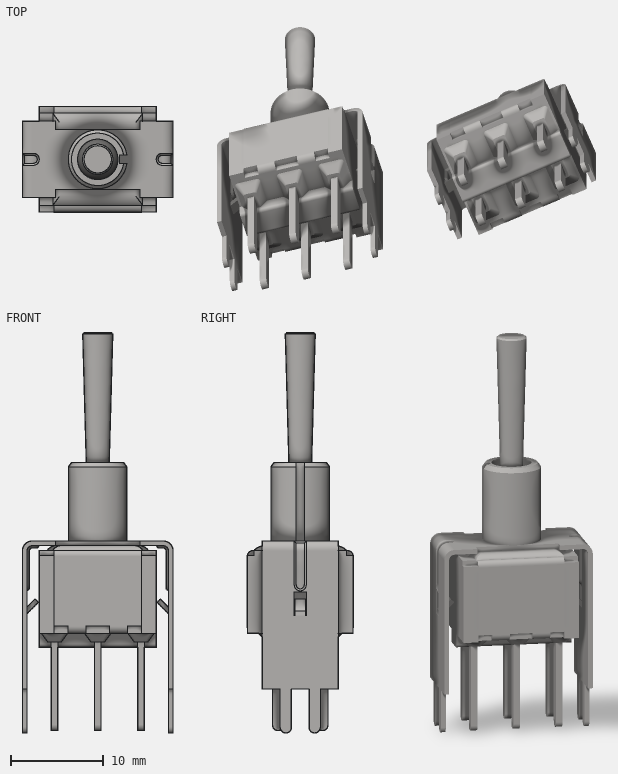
import cadquery as cq
import math


bracket_length = 16.25
bracket_width = 8.25
sheet = 0.5
bend_radius = 1.1
leg_shoulder_z = -15.95
leg_tip_z = -20.7
prong_width = 1.2
prong_pitch = 3.1
notch_length = 9.05
notch_inner_y = 3.25

rib_depth = 0.25
rib_width = 1.3
rib_floor_width = 0.85
rib_top_end_x = 6.3
rib_leg_end_z = -5.4

window_width = 1.3
window_top_z = -5.52
window_bottom_z = -8.05
latch_width = 1.15
latch_reach_x = 6.4
latch_root_z = -7.85
latch_bend_z = -7.55

bushing_diameter = 6.35
bushing_height = 8.45
bushing_chamfer_height = 0.35
bushing_chamfer_width = 0.47
bore_diameter = 4.35
keyway_width = 0.95
keyway_floor_x = 2.35
lever_top_z = 43.15 + leg_tip_z
lever_top_diameter = 3.3
lever_neck_diameter = 2.5
lever_edge = 0.17

housing_length = 12.65
housing_width = 11.45
housing_top_z = -1.05
housing_bottom_z = -9.95
end_step_height = 0.5
panel_length = 9.45
panel_thickness = 0.75
panel_round = 0.65
end_setback = 0.02
panel_bottom_z = -9.2
crimp_length = 1.95
crimp_pitch = 4.45
crimp_round = 0.7

roof_half_length = 4.85
roof_top_half_length = 3.95
roof_half_width = housing_width / 2 - panel_thickness
roof_top_half_width = 3.8
hump_half_length = 5.45
hump_top_half_length = 4.55

base_bar_width = 3.0
base_bar_bottom_z = -11.5
base_bar_round = 0.35

pin_pitch = 4.65
pin_row_spacing = 4.8
pin_thickness = 0.75
pin_width = 1.2
pin_tip_z = -20.45
collar_bottom_z = -10.9
collar_bottom_length = 1.42
collar_bottom_width = 2.25
collar_bottom_corner = 0.2
collar_top_length = 2.85
collar_top_width = 4.25
collar_top_corner = 0.4

overcut = 0.45

half_length = bracket_length / 2
inner_x = half_length - sheet


def box(x0, x1, y0, y1, z0, z1):
    """Axis-aligned block between two opposite corners."""
    return cq.Workplane("XY").box(x1 - x0, y1 - y0, z1 - z0, centered=False).translate((x0, y0, z0))


def centred_box(length, width, z0, z1):
    """Block centred on the Z axis."""
    return box(-length / 2, length / 2, -width / 2, width / 2, z0, z1)


def both_ends(body):
    """The body together with its mirror image at the -X end."""
    return body.union(body.mirror("YZ"))


def both_sides(body):
    """The body together with its mirror image on the +Y side."""
    return body.union(body.mirror("XZ"))


def round_tipped_blade(thickness, width, top_z, tip_z):
    """Flat vertical blade on the Z axis whose lower end is a half circle across its width."""
    half = width / 2
    return (
        cq.Workplane("YZ")
        .moveTo(-half, top_z)
        .lineTo(-half, tip_z + half)
        .threePointArc((0, tip_z), (half, tip_z + half))
        .lineTo(half, top_z)
        .close()
        .extrude(thickness / 2, both=True)
    )


def bushing_cylinder(bottom_z, top_z):
    """Plain cylinder of the bushing's outer diameter."""
    base = cq.Workplane("XY").workplane(offset=bottom_z)
    return base.circle(bushing_diameter / 2).extrude(top_z - bottom_z)


def keyway_block(bottom_z, top_z):
    """Block filling the keyway, which lies on the +X side of the bushing."""
    half = keyway_width / 2
    return box(keyway_floor_x, bushing_diameter / 2 + overcut, -half, half, bottom_z, top_z)


def rib_tool(depth):
    """Tapered strip, rounded at both ends, that starts at `depth` below the bracket's outer
    surface and follows its +X bend; it is rib_depth high and points inwards."""
    surface_x = half_length - depth
    end_x = rib_top_end_x + rib_width / 2
    end_z = rib_leg_end_z + rib_width / 2
    radius = bend_radius - depth
    centre_x = half_length - bend_radius
    diagonal = radius * math.sqrt(0.5)
    path = (
        cq.Workplane("XZ")
        .moveTo(end_x, -depth)
        .lineTo(centre_x, -depth)
        .threePointArc((centre_x + diagonal, diagonal - bend_radius), (surface_x, -bend_radius))
        .lineTo(surface_x, end_z)
    )
    strip = (
        cq.Workplane("YZ", origin=(end_x, 0, 0))
        .polyline([
            (-rib_width / 2, -depth),
            (rib_width / 2, -depth),
            (rib_floor_width / 2, -depth - rib_depth),
            (-rib_floor_width / 2, -depth - rib_depth),
        ])
        .close()
        .sweep(path)
    )
    top_end = cq.Solid.makeCone(
        rib_width / 2, rib_floor_width / 2, rib_depth, cq.Vector(end_x, 0, -depth), cq.Vector(0, 0, -1)
    )
    leg_end = cq.Solid.makeCone(
        rib_width / 2, rib_floor_width / 2, rib_depth, cq.Vector(surface_x, 0, end_z), cq.Vector(-1, 0, 0)
    )
    return strip.union(cq.Workplane(top_end)).union(cq.Workplane(leg_end))


def latch():
    """Tongue bent 45 degrees out of the +X leg, towards the housing."""
    lower_tip_z = latch_root_z + inner_x - latch_reach_x
    end_offset = sheet * math.sqrt(0.5)
    upper_tip = (latch_reach_x + end_offset, lower_tip_z + end_offset)
    bend_x = upper_tip[0] + upper_tip[1] - latch_bend_z
    return (
        cq.Workplane("XZ")
        .polyline([
            (latch_reach_x, lower_tip_z),
            upper_tip,
            (bend_x, latch_bend_z),
            (half_length, window_bottom_z),
            (inner_x, window_bottom_z),
            (inner_x, latch_root_z),
        ])
        .close()
        .extrude(latch_width / 2, both=True)
    )


def make_bracket():
    """Sheet-metal bracket: top plate, two bent legs with solder prongs, stiffening ribs and latches."""
    outside = centred_box(bracket_length, bracket_width, leg_shoulder_z, 0)
    outside = outside.edges("|Y and >Z").fillet(bend_radius)
    inside = centred_box(2 * inner_x, bracket_width + 2 * overcut, leg_shoulder_z - overcut, -sheet)
    inside = inside.edges("|Y and >Z").fillet(bend_radius - sheet)
    body = outside.cut(inside)

    prong = round_tipped_blade(sheet, prong_width, leg_shoulder_z, leg_tip_z)
    prong = prong.translate((half_length - sheet / 2, -prong_pitch / 2, 0))
    body = body.union(both_ends(both_sides(prong)))

    notch = box(
        -notch_length / 2, notch_length / 2, -bracket_width, -notch_inner_y, -sheet - overcut, overcut
    )
    body = body.cut(both_sides(notch))

    body = body.union(both_ends(rib_tool(sheet))).cut(both_ends(rib_tool(0)))

    half = window_width / 2
    window = box(inner_x - overcut, half_length + overcut, -half, half, window_bottom_z, window_top_z)
    body = body.cut(both_ends(window)).union(both_ends(latch()))

    hole = bushing_cylinder(-sheet, 0).cut(keyway_block(-sheet, 0))
    return body.cut(hole)


def make_bushing():
    """Chamfered sleeve with a blind bore and a keyway; it passes through the bracket."""
    body = bushing_cylinder(housing_top_z, bushing_height)
    body = body.faces(">Z").chamfer(bushing_chamfer_width, bushing_chamfer_height)
    body = body.cut(cq.Workplane("XY").circle(bore_diameter / 2).extrude(bushing_height))
    return body.cut(keyway_block(-sheet, bushing_height))


def make_lever():
    """Handle that widens upwards, rising from a half ball on the floor of the bore."""
    top = lever_top_diameter / 2
    neck = lever_neck_diameter / 2
    slope = (top - neck) / (lever_top_z - bushing_height)
    foot = neck - slope * bushing_height
    handle = (
        cq.Workplane("XZ")
        .polyline([(0, 0), (foot, 0), (top, lever_top_z), (0, lever_top_z)])
        .close()
        .revolve(360, (0, 0), (0, 1))
        .faces(">Z")
        .chamfer(lever_edge)
    )
    ball = cq.Workplane("XY").sphere(bore_diameter / 2)
    half_ball = ball.intersect(centred_box(bore_diameter, bore_diameter, 0, bore_diameter))
    return handle.union(half_ball)


def arched_prism(plane, foot, crest, half_depth):
    """Prism from the housing top to the bracket's underside. Each side is an arc that leaves
    the housing at `foot` and runs tangent into the flat top at `crest`."""
    height = -sheet - housing_top_z
    run = foot - crest
    radius = (run**2 + height**2) / (2 * height)
    half_angle = math.asin(run / radius) / 2
    mid = (crest + radius * math.sin(half_angle), -sheet - radius * (1 - math.cos(half_angle)))
    return (
        cq.Workplane(plane)
        .moveTo(-foot, housing_top_z)
        .threePointArc((-mid[0], mid[1]), (-crest, -sheet))
        .lineTo(crest, -sheet)
        .threePointArc(mid, (foot, housing_top_z))
        .close()
        .extrude(half_depth, both=True)
    )


def make_roof():
    """Raised housing top under the bracket, rounded on all sides and longer in the middle."""
    across = arched_prism("YZ", roof_half_width, roof_top_half_width, roof_half_length)
    along = arched_prism("XZ", roof_half_length, roof_top_half_length, roof_half_width)
    hump = arched_prism("XZ", hump_half_length, hump_top_half_length, notch_inner_y)
    return across.intersect(along).union(hump)


def make_housing():
    """Case with barely proud side panels, stepped ends, crimped panel tabs and a base bar."""
    core = centred_box(
        housing_length, 2 * roof_half_width, housing_bottom_z, housing_top_z
    )
    ends = centred_box(
        housing_length, housing_width - 2 * end_setback, housing_bottom_z, housing_top_z - end_step_height
    )
    ends = ends.cut(centred_box(panel_length, housing_width, housing_bottom_z, housing_top_z))
    panels = centred_box(panel_length, housing_width, panel_bottom_z, housing_top_z)
    panels = panels.edges("|X and >Z").fillet(panel_round)
    body = core.union(ends).union(panels)

    crimps = centred_box(crimp_length, housing_width, housing_bottom_z, panel_bottom_z)
    crimps = crimps.edges("|X and <Z").fillet(crimp_round)
    for side in (-1, 1):
        body = body.union(crimps.translate((side * crimp_pitch / 2, 0, 0)))

    base_bar = centred_box(housing_length, base_bar_width, base_bar_bottom_z, housing_bottom_z)
    return body.union(base_bar.edges("|X and <Z").fillet(base_bar_round))


def rounded_rectangle(length, width, corner):
    """Sketch of a rectangle with rounded corners."""
    return cq.Sketch().rect(length, width).vertices().fillet(corner)


def make_pin():
    """Flat pin with a round tip, rising into a collar that flares up to the housing bottom."""
    blade = round_tipped_blade(pin_thickness, pin_width, housing_bottom_z, pin_tip_z)
    bottom = rounded_rectangle(collar_bottom_length, collar_bottom_width, collar_bottom_corner)
    top = rounded_rectangle(collar_top_length, collar_top_width, collar_top_corner)
    collar = (
        cq.Workplane("XY")
        .placeSketch(
            bottom.moved(cq.Location(cq.Vector(0, 0, collar_bottom_z))),
            top.moved(cq.Location(cq.Vector(0, 0, housing_bottom_z))),
        )
        .loft()
    )
    return blade.union(collar)


def make_switch():
    """Housing, bushing, lever and pins as one solid."""
    body = make_housing().union(make_roof()).union(make_bushing()).union(make_lever())
    pin = make_pin()
    for column in (-1, 0, 1):
        for row in (-0.5, 0.5):
            body = body.union(pin.translate((column * pin_pitch, row * pin_row_spacing, 0)))
    return body


bracket = make_bracket()
switch = make_switch()

result = cq.Compound.makeCompound([*bracket.solids().vals(), *switch.solids().vals()])